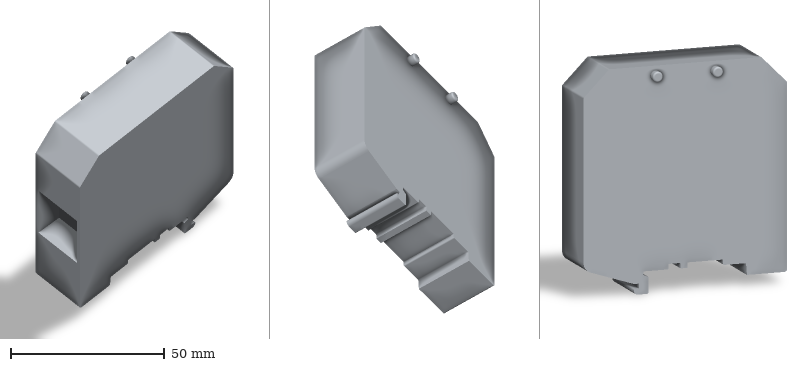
import cadquery as cq

height = 76.1
depth = 70.7
overall_width = 23.2
pin_length = 2.8
body_width = overall_width - pin_length

front_y = -depth / 2
back_y = depth / 2

top_chamfer = 8.9
corner_radius = 0.8
back_corner_radius = 3.4
back_corner_z = 9.4
base_z = 3.65

rail_z = 7.6
groove_z = 9.4
back_groove_start = 29.5
rib_start = 33.7
rib_end = 36.15
front_groove_end = 48.5
rail_end = 56.5
rail_end_draft = 0.3
groove_radius = 0.45

notch_start = 17.5
notch_end = 19.3
notch_z = 2.0
foot_end = 22.5
foot_radius = 0.5
toe_radius = 1.3
hook_z = 5.6
hook_root_z = 6.4
hook_root = 20.85

pin_diameter = 3.5
pin_end_radius = 0.6
pin_z = 72.8
pin_spacing = 20.9
pin_offsets = [(depth - pin_spacing) / 2, (depth + pin_spacing) / 2]

pocket_depth = 7.45
mouth_margin = 1.3
mouth_bottom = 26.5
mouth_top = 48.5
floor_margin = 3.35
floor_bottom = 29.5
floor_top = 40.6


def make_housing():
    """Extrude the side outline, given as (distance from back face, height), and round its corners."""
    outline = [
        (0, height - top_chamfer),
        (top_chamfer, height),
        (depth - top_chamfer, height),
        (depth, height - top_chamfer),
        (depth, base_z),
        (rail_end + rail_end_draft, base_z),
        (rail_end, rail_z),
        (front_groove_end, rail_z),
        (front_groove_end, groove_z),
        (rib_end, groove_z),
        (rib_end, rail_z),
        (rib_start, rail_z),
        (rib_start, groove_z),
        (back_groove_start, groove_z),
        (back_groove_start, rail_z),
        (hook_root, rail_z),
        (hook_root, hook_root_z),
        (foot_end, hook_z),
        (foot_end, 0),
        (notch_start, 0),
        (notch_start, notch_z),
        (notch_end, notch_z),
        (notch_end, base_z),
        (notch_start, base_z),
        (0, back_corner_z),
    ]
    points = [(back_y - distance, z) for distance, z in outline]
    body = cq.Workplane("YZ").polyline(points).close().extrude(body_width)

    def round_corners(solid, radius, corners):
        for distance, z in corners:
            corner = (body_width / 2, back_y - distance, z)
            edge = solid.edges("|X").edges(cq.selectors.NearestToPointSelector(corner))
            solid = edge.fillet(radius)
        return solid

    housing_corners = outline[:5]
    groove_corners = [
        (rail_end, rail_z),
        (front_groove_end, rail_z),
        (rib_start, groove_z),
        (back_groove_start, rail_z),
    ]
    body = round_corners(body, corner_radius, housing_corners)
    body = round_corners(body, back_corner_radius, [(0, back_corner_z)])
    body = round_corners(body, groove_radius, groove_corners)
    body = round_corners(body, foot_radius, [(foot_end, 0), (notch_start, notch_z)])
    return round_corners(body, toe_radius, [(notch_start, 0)])


def make_pocket():
    """Four-sided taper from the mouth on the front face to the smaller floor."""

    def section(margin, bottom, top):
        return [
            (margin, bottom),
            (body_width - margin, bottom),
            (body_width - margin, top),
            (margin, top),
        ]

    return (
        cq.Workplane("XZ", origin=(0, front_y, 0))
        .polyline(section(mouth_margin, mouth_bottom, mouth_top))
        .close()
        .workplane(offset=-pocket_depth)
        .polyline(section(floor_margin, floor_bottom, floor_top))
        .close()
        .loft(ruled=True, combine=True)
    )


def make_pin(distance):
    """Round-ended pin standing out of the -X face."""
    return (
        cq.Workplane("YZ", origin=(0, back_y - distance, pin_z))
        .circle(pin_diameter / 2)
        .extrude(-pin_length)
        .faces("<X")
        .fillet(pin_end_radius)
    )


result = make_housing().cut(make_pocket())
for pin_offset in pin_offsets:
    result = result.union(make_pin(pin_offset))